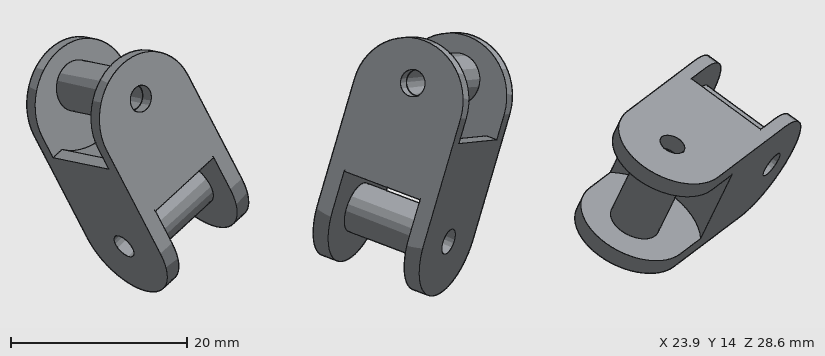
import cadquery as cq

LEAN_ANGLE = 32.8
LINK_WIDTH = 13.05
LINK_DEPTH = 14.0
ROLLER_LENGTH = 10.0
ROLLER_DIAMETER = 5.9
ROLLER_BORE = 3.0
LOWER_HOLE_DIAMETER = 3.0
UPPER_HOLE_DIAMETER = 3.1
UPPER_AXIS_HEIGHT = 16.95
UPPER_AXIS_OFFSET = 0.1
UPPER_ROUND_HEIGHT = 15.0
UPPER_GAP_FLOOR = 12.0
UPPER_RELIEF_RADIUS = 7.43
LOWER_RELIEF_RADIUS = 8.0

LOWER_END_RADIUS = LINK_WIDTH / 2
UPPER_END_RADIUS = LINK_DEPTH / 2
TOP_HEIGHT = UPPER_ROUND_HEIGHT + UPPER_END_RADIUS


def on_upper_axis(body):
    """Turn a body centred on the Z axis onto the upper roller axis, along X."""
    return body.rotate((0, 0, 0), (0, 1, 0), 90).translate((0, UPPER_AXIS_OFFSET, UPPER_AXIS_HEIGHT))


def on_lower_axis(body):
    """Turn a body centred on the Z axis onto the lower roller axis, along Y."""
    return body.rotate((0, 0, 0), (1, 0, 0), 90)


def centred_cylinder(diameter, length):
    """Cylinder along Z, centred on the origin."""
    return cq.Workplane("XY").workplane(offset=-length / 2).circle(diameter / 2).extrude(length)


def make_blank():
    """Block rounded about Y at the bottom and about X at the top."""
    lower_profile = (
        cq.Workplane("XZ")
        .moveTo(-LOWER_END_RADIUS, 0)
        .threePointArc((0, -LOWER_END_RADIUS), (LOWER_END_RADIUS, 0))
        .lineTo(LOWER_END_RADIUS, TOP_HEIGHT)
        .lineTo(-LOWER_END_RADIUS, TOP_HEIGHT)
        .close()
        .extrude(LINK_DEPTH / 2, both=True)
    )
    upper_profile = (
        cq.Workplane("YZ")
        .moveTo(-UPPER_END_RADIUS, UPPER_ROUND_HEIGHT)
        .threePointArc((0, TOP_HEIGHT), (UPPER_END_RADIUS, UPPER_ROUND_HEIGHT))
        .lineTo(UPPER_END_RADIUS, -LOWER_END_RADIUS)
        .lineTo(-UPPER_END_RADIUS, -LOWER_END_RADIUS)
        .close()
        .extrude(LINK_WIDTH / 2, both=True)
    )
    return lower_profile.intersect(upper_profile)


def make_upper_gap():
    """Gap between the upper lugs, with a round relief sunk into its floor."""
    gap_height = TOP_HEIGHT - UPPER_GAP_FLOOR
    gap = (
        cq.Workplane("XY")
        .workplane(offset=UPPER_GAP_FLOOR)
        .rect(ROLLER_LENGTH, LINK_DEPTH)
        .extrude(gap_height)
    )
    relief = on_upper_axis(centred_cylinder(2 * UPPER_RELIEF_RADIUS, ROLLER_LENGTH))
    return gap.union(relief)


def make_link():
    """Link with lugs at both ends, the two pairs at right angles."""
    return (
        make_blank()
        .cut(make_upper_gap())
        .cut(on_lower_axis(centred_cylinder(2 * LOWER_RELIEF_RADIUS, ROLLER_LENGTH)))
        .cut(on_upper_axis(centred_cylinder(UPPER_HOLE_DIAMETER, LINK_WIDTH)))
        .cut(on_lower_axis(centred_cylinder(LOWER_HOLE_DIAMETER, LINK_DEPTH)))
    )


def make_roller():
    """Bored roller along Z, centred on the origin."""
    bore = centred_cylinder(ROLLER_BORE, ROLLER_LENGTH)
    return centred_cylinder(ROLLER_DIAMETER, ROLLER_LENGTH).cut(bore)


def lean(body):
    """Lean a body over toward -X about the lower roller axis."""
    return body.rotate((0, 0, 0), (0, 1, 0), -LEAN_ANGLE)


link = lean(make_link())
rollers = [lean(place(make_roller())) for place in (on_upper_axis, on_lower_axis)]

result = cq.Compound.makeCompound([link.val(), *[roller.val() for roller in rollers]])